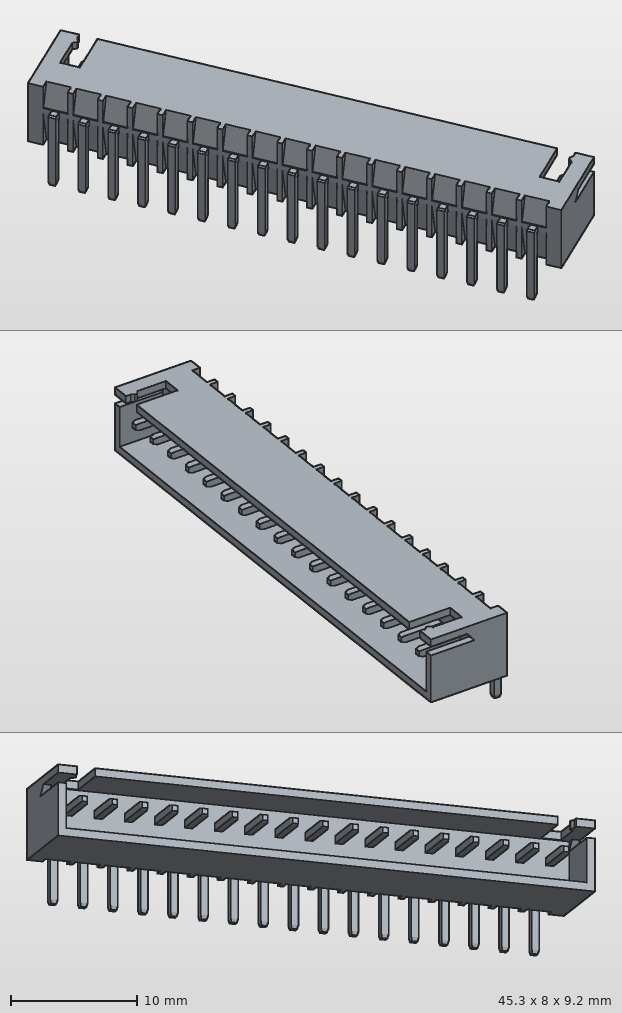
import cadquery as cq
import math

LENGTH = 45.3
DEPTH = 7.25
HEIGHT = 5.9
HALF_LENGTH = LENGTH / 2

SIDE_WALL = 0.7
FLOOR_WALL = 0.7
ROOF_WALL = 0.7
CAVITY_DEPTH = 4.12

ARM_WIDTH = 1.45
NOTCH_WIDTH = 1.68
NOTCH_DEPTH = 3.9

SLOT_TOP = HEIGHT - 0.7
SLOT_BOTTOM = HEIGHT - 1.5
SLOT_DEPTH_TOP = 3.45
SLOT_DEPTH_BOTTOM = 4.12

BUMP_TIP = 0.15
BUMP_HEIGHT = 0.3
BUMP_RISE_START = 0.45
BUMP_RISE_END = 0.72
BUMP_FALL_START = 0.95
BUMP_END = 1.2

PIN_COUNT = 17
PIN_ROW = 40.65
PITCH = PIN_ROW / (PIN_COUNT - 1)
PIN_SIZE = 0.65
PIN_TOP = 3.65
PIN_REACH = 0.75
PIN_BOTTOM = -3.3
PIN_RECESS = 0.25
HEEL_LENGTH = 0.2
HEEL_DROP = 0.1
TIP_LENGTH = 0.3
TIP_TAPER = 0.1
TIP_ANGLE = math.degrees(math.atan2(TIP_TAPER, TIP_LENGTH))

RECESS_WIDTH = 2.1
RECESS_DEPTH = 0.72
RECESS_LEDGE = 0.1
UPPER_RECESS_END = HEIGHT - 2.17
LOWER_RECESS_END = HEIGHT - 2.7


def block(x_range, y_range, z_range):
    """Axis-aligned box between the given limits."""
    size = [end - start for start, end in (x_range, y_range, z_range)]
    corner = (x_range[0], y_range[0], z_range[0])
    return cq.Workplane("XY").box(*size, centered=False).translate(corner)


def extrude_along_x(outline_yz, x_start, width):
    """Prism with a YZ outline, running in +X from x_start."""
    return cq.Workplane("YZ").workplane(offset=x_start).polyline(outline_yz).close().extrude(width)


def both_ends(left_shape):
    """The left-end shape together with its mirror image at the right end."""
    return left_shape.union(left_shape.mirror("YZ"))


def make_housing():
    inner_half = HALF_LENGTH - SIDE_WALL
    body = block((-HALF_LENGTH, HALF_LENGTH), (0, DEPTH), (0, HEIGHT))
    cavity = block(
        (-inner_half, inner_half),
        (DEPTH - CAVITY_DEPTH, DEPTH),
        (FLOOR_WALL, HEIGHT - ROOF_WALL),
    )
    notch_start = -HALF_LENGTH + ARM_WIDTH
    notch = block(
        (notch_start, notch_start + NOTCH_WIDTH),
        (DEPTH - NOTCH_DEPTH, DEPTH),
        (HEIGHT - ROOF_WALL, HEIGHT),
    )
    slot_outline = [
        (DEPTH, SLOT_TOP),
        (DEPTH - SLOT_DEPTH_TOP, SLOT_TOP),
        (DEPTH - SLOT_DEPTH_BOTTOM, SLOT_BOTTOM),
        (DEPTH, SLOT_BOTTOM),
    ]
    side_slots = extrude_along_x(slot_outline, -HALF_LENGTH, LENGTH)
    return body.cut(cavity).cut(both_ends(notch)).cut(side_slots)


def make_latch_bump():
    """Bump on the left latch arm, over the arm's full thickness."""
    arm_side = -HALF_LENGTH + ARM_WIDTH
    outline = [
        (arm_side, DEPTH),
        (arm_side + BUMP_TIP, DEPTH),
        (arm_side + BUMP_TIP, DEPTH - BUMP_RISE_START),
        (arm_side + BUMP_HEIGHT, DEPTH - BUMP_RISE_END),
        (arm_side + BUMP_HEIGHT, DEPTH - BUMP_FALL_START),
        (arm_side, DEPTH - BUMP_END),
    ]
    arm_thickness = HEIGHT - SLOT_TOP
    return cq.Workplane("XY").workplane(offset=SLOT_TOP).polyline(outline).close().extrude(arm_thickness)


def make_recess_pair():
    """Wedges deepening to the top and bottom edges, the upper one ending on a small ledge."""
    left = -RECESS_WIDTH / 2
    upper = [
        (0, UPPER_RECESS_END),
        (0, HEIGHT),
        (RECESS_DEPTH, HEIGHT),
        (RECESS_LEDGE, UPPER_RECESS_END),
    ]
    lower = [(0, LOWER_RECESS_END), (0, 0), (RECESS_DEPTH, 0)]
    wedges = extrude_along_x(upper, left, RECESS_WIDTH)
    return wedges.union(extrude_along_x(lower, left, RECESS_WIDTH))


def add_tapered_tip(bar, end_face):
    """Lengthen a square bar by a four-sided tapered tip."""
    end_plane = bar.faces(end_face).workplane(centerOption="CenterOfMass")
    return end_plane.rect(PIN_SIZE, PIN_SIZE).extrude(TIP_LENGTH, taper=TIP_ANGLE)


def make_pin():
    """L-shaped square pin with tapered tips and a slightly bevelled outer bend."""
    half = PIN_SIZE / 2
    contact_end = DEPTH - PIN_RECESS - TIP_LENGTH
    tail_end = PIN_BOTTOM + TIP_LENGTH
    contact = block((-half, half), (-PIN_REACH, contact_end), (PIN_TOP - PIN_SIZE, PIN_TOP))
    tail = block((-half, half), (-PIN_REACH, -PIN_REACH + PIN_SIZE), (tail_end, PIN_TOP))
    heel_outline = [
        (-PIN_REACH, PIN_TOP),
        (-PIN_REACH + HEEL_LENGTH, PIN_TOP),
        (-PIN_REACH, PIN_TOP - HEEL_DROP),
    ]
    heel = extrude_along_x(heel_outline, -half, PIN_SIZE)
    return add_tapered_tip(contact, ">Y").union(add_tapered_tip(tail, "<Z")).cut(heel)


result = make_housing().union(both_ends(make_latch_bump()))

recess_pair = make_recess_pair()
pin = make_pin()
for index in range(PIN_COUNT):
    position = (index * PITCH - PIN_ROW / 2, 0, 0)
    result = result.cut(recess_pair.translate(position))
    result = result.union(pin.translate(position))